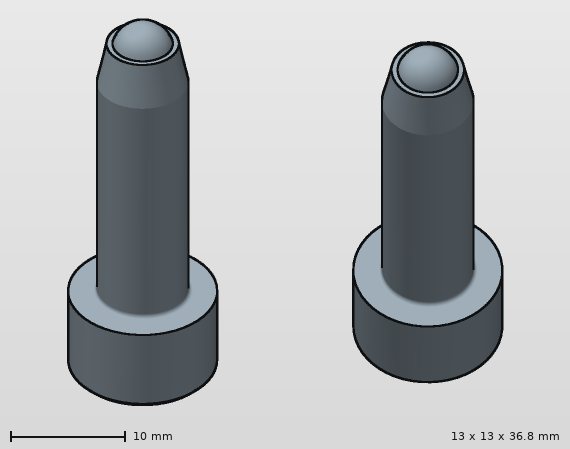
import cadquery as cq

total_height = 36.75
head_diameter = 13.0
head_height = 8.0
head_chamfer = 0.55

shank_diameter = 8.0
neck_fillet = 0.4

taper_start = 30.65
taper_end = 34.8
taper_end_diameter = 6.32
ball_radius = 2.75


def make_head():
    """Cylindrical head with a chamfered bottom edge."""
    head = cq.Workplane("XY").circle(head_diameter / 2).extrude(head_height)
    return head.faces("<Z").edges().chamfer(head_chamfer)


def make_pin():
    """Shank with a concave fillet at the head, ending in a tapered nose."""
    shank_radius = shank_diameter / 2
    profile = (
        cq.Workplane("XZ")
        .moveTo(0, 0)
        .lineTo(shank_radius + neck_fillet, 0)
        .lineTo(shank_radius + neck_fillet, head_height)
        .radiusArc((shank_radius, head_height + neck_fillet), neck_fillet)
        .lineTo(shank_radius, taper_start)
        .lineTo(taper_end_diameter / 2, taper_end)
        .lineTo(0, taper_end)
        .close()
    )
    return profile.revolve(360, (0, 0, 0), (0, 1, 0))


def make_ball():
    """Ball whose crown sets the total height; its lower part sits in the nose."""
    ball_center = total_height - ball_radius
    return cq.Workplane("XY").sphere(ball_radius).translate((0, 0, ball_center))


result = make_head().union(make_pin()).union(make_ball())